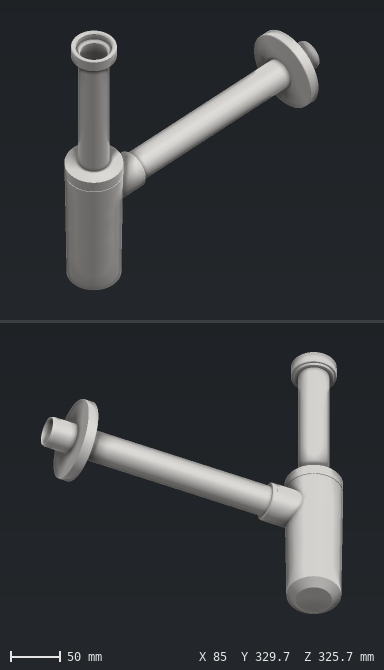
import cadquery as cq


TOTAL_HEIGHT = 325.7
OUTLET_END_Y = 299.7
OUTLET_AXIS_Z = 116.7

TUBE_DIAMETER = 32.0
TUBE_RADIUS = TUBE_DIAMETER / 2
BORE_RADIUS = 14.2
BORE_CHAMFER = 1.0

DISH_RADIUS = 19.5
DISH_DEPTH = 1.0

HOUSING_TOP_RADIUS = 30.0
HOUSING_BASE_RADIUS = 28.0
BASE_FACE_RADIUS = 18.5
BASE_BEVEL_HEIGHT = 6.5
HOUSING_TOP_Z = 147.7

SOCKET_RADIUS = 20.0
SOCKET_END_Y = 54.5
SOCKET_END_CHAMFER = 1.0
SOCKET_STEP_DEPTH = 0.15
SOCKET_STEP_LENGTH = 4.5
SOCKET_STEP_Y = SOCKET_END_Y - SOCKET_STEP_LENGTH
SOCKET_FLOOR_Y = HOUSING_TOP_RADIUS
NOTCH_WIDTH = 5.3
NOTCH_TIP_WIDTH = 2.5
NOTCH_LENGTH = 6.5
NOTCH_DEPTH = 0.3

CAP_RADIUS = HOUSING_TOP_RADIUS
CAP_TOP_Z = 164.2
CAP_CONE_HEIGHT = 3.3
CAP_FOOT_HEIGHT = 1.3
CAP_FOOT_INSET = 0.5

NUT_RADIUS = 23.5
NUT_BOTTOM_Z = 312.2
NUT_EDGE_CHAMFER = 0.5
NUT_BORE_RADIUS = 18.8
NUT_MOUTH_CHAMFER = 1.3
NECK_TOP_RADIUS = 21.0
NECK_BOTTOM_RADIUS = 19.8
NECK_HEIGHT = 1.5

COLLAR_HEIGHT = 3.3
COLLAR_TOP_DEPTH = 8.5
COLLAR_TOP_Z = TOTAL_HEIGHT - COLLAR_TOP_DEPTH
LEDGE_Z = COLLAR_TOP_Z - COLLAR_HEIGHT

TUBE_END_CHAMFER_LENGTH = 3.0
TUBE_END_CHAMFER_DEPTH = 1.0

FLANGE_RADIUS = 42.5
FLANGE_BACK_Y = 272.5
FLANGE_RIM_LENGTH = 11.2
FLANGE_DEPTH = 15.0
FLANGE_EDGE_CHAMFER = 0.5


def revolve_about_z(points):
    """Turn a closed (radius, z) outline about the Z axis."""
    return cq.Workplane("XZ").polyline(points).close().revolve(360, (0, 0, 0), (0, 1, 0))


def revolve_about_outlet(points):
    """Turn a closed (radius, y) outline about the outlet axis."""
    plane = cq.Workplane("XY", origin=(0, 0, OUTLET_AXIS_Z))
    return plane.polyline(points).close().revolve(360, (0, 0, 0), (0, 1, 0))


def make_index_notch():
    """Tapered U-shaped pocket on top of the socket, open towards the socket's end step."""
    tip_radius = NOTCH_TIP_WIDTH / 2
    floor_z = OUTLET_AXIS_Z + SOCKET_RADIUS - NOTCH_DEPTH
    return (
        cq.Workplane("XY", origin=(0, SOCKET_STEP_Y, floor_z))
        .moveTo(-NOTCH_WIDTH / 2, 0)
        .lineTo(-tip_radius, tip_radius - NOTCH_LENGTH)
        .threePointArc((0, -NOTCH_LENGTH), (tip_radius, tip_radius - NOTCH_LENGTH))
        .lineTo(NOTCH_WIDTH / 2, 0)
        .close()
        .extrude(NOTCH_DEPTH)
    )


def make_housing():
    cup = revolve_about_z([
        (0, 0),
        (BASE_FACE_RADIUS, 0),
        (HOUSING_BASE_RADIUS, BASE_BEVEL_HEIGHT),
        (HOUSING_TOP_RADIUS, HOUSING_TOP_Z),
        (0, HOUSING_TOP_Z),
    ])
    step_radius = SOCKET_RADIUS - SOCKET_STEP_DEPTH
    socket = revolve_about_outlet([
        (0, 0),
        (SOCKET_RADIUS, 0),
        (SOCKET_RADIUS, SOCKET_STEP_Y),
        (step_radius, SOCKET_STEP_Y),
        (step_radius, SOCKET_END_Y - SOCKET_END_CHAMFER),
        (step_radius - SOCKET_END_CHAMFER, SOCKET_END_Y),
        (0, SOCKET_END_Y),
    ])
    tube_seat = revolve_about_outlet([
        (0, SOCKET_FLOOR_Y),
        (TUBE_RADIUS, SOCKET_FLOOR_Y),
        (TUBE_RADIUS, SOCKET_END_Y),
        (0, SOCKET_END_Y),
    ])
    return cup.union(socket).cut(tube_seat).cut(make_index_notch())


def make_cap():
    foot_radius = CAP_RADIUS - CAP_FOOT_INSET
    foot_top_z = HOUSING_TOP_Z + CAP_FOOT_HEIGHT
    return revolve_about_z([
        (TUBE_RADIUS, HOUSING_TOP_Z),
        (foot_radius, HOUSING_TOP_Z),
        (foot_radius, foot_top_z),
        (CAP_RADIUS, foot_top_z),
        (CAP_RADIUS, CAP_TOP_Z - CAP_CONE_HEIGHT),
        (DISH_RADIUS, CAP_TOP_Z),
        (TUBE_RADIUS, CAP_TOP_Z - DISH_DEPTH),
    ])


def make_inlet_tube():
    """Open tube standing on the housing, with a collar at its top."""
    return revolve_about_z([
        (BORE_RADIUS, HOUSING_TOP_Z),
        (TUBE_RADIUS, HOUSING_TOP_Z),
        (TUBE_RADIUS, LEDGE_Z),
        (NUT_BORE_RADIUS, LEDGE_Z),
        (NUT_BORE_RADIUS, COLLAR_TOP_Z),
        (BORE_RADIUS + BORE_CHAMFER, COLLAR_TOP_Z),
        (BORE_RADIUS, COLLAR_TOP_Z - BORE_CHAMFER),
    ])


def make_nut():
    chamfered_radius = NUT_RADIUS - NUT_EDGE_CHAMFER
    neck_bottom_z = NUT_BOTTOM_Z - NECK_HEIGHT
    return revolve_about_z([
        (TUBE_RADIUS, neck_bottom_z),
        (NECK_BOTTOM_RADIUS, neck_bottom_z),
        (NECK_TOP_RADIUS, NUT_BOTTOM_Z),
        (chamfered_radius, NUT_BOTTOM_Z),
        (NUT_RADIUS, NUT_BOTTOM_Z + NUT_EDGE_CHAMFER),
        (NUT_RADIUS, TOTAL_HEIGHT - NUT_EDGE_CHAMFER),
        (chamfered_radius, TOTAL_HEIGHT),
        (NUT_BORE_RADIUS + NUT_MOUTH_CHAMFER, TOTAL_HEIGHT),
        (NUT_BORE_RADIUS, TOTAL_HEIGHT - NUT_MOUTH_CHAMFER),
        (NUT_BORE_RADIUS, LEDGE_Z),
        (TUBE_RADIUS, LEDGE_Z),
    ])


def make_outlet_tube():
    """Open tube seated in the housing socket, chamfered at its far end."""
    return revolve_about_outlet([
        (BORE_RADIUS, SOCKET_FLOOR_Y),
        (TUBE_RADIUS, SOCKET_FLOOR_Y),
        (TUBE_RADIUS, OUTLET_END_Y - TUBE_END_CHAMFER_LENGTH),
        (TUBE_RADIUS - TUBE_END_CHAMFER_DEPTH, OUTLET_END_Y),
        (BORE_RADIUS, OUTLET_END_Y),
    ])


def make_wall_flange():
    """Disc with a conical front, dished where it meets the outlet tube."""
    rim_front_y = FLANGE_BACK_Y - FLANGE_RIM_LENGTH
    front_y = FLANGE_BACK_Y - FLANGE_DEPTH
    return revolve_about_outlet([
        (TUBE_RADIUS, front_y + DISH_DEPTH),
        (DISH_RADIUS, front_y),
        (FLANGE_RADIUS - FLANGE_EDGE_CHAMFER, rim_front_y),
        (FLANGE_RADIUS, rim_front_y + FLANGE_EDGE_CHAMFER),
        (FLANGE_RADIUS, FLANGE_BACK_Y),
        (TUBE_RADIUS, FLANGE_BACK_Y),
    ])


housing = make_housing()
cap = make_cap()
inlet_tube = make_inlet_tube()
nut = make_nut()
outlet_tube = make_outlet_tube()
wall_flange = make_wall_flange()

result = cq.Compound.makeCompound([
    housing.val(),
    cap.val(),
    inlet_tube.val(),
    nut.val(),
    outlet_tube.val(),
    wall_flange.val(),
])